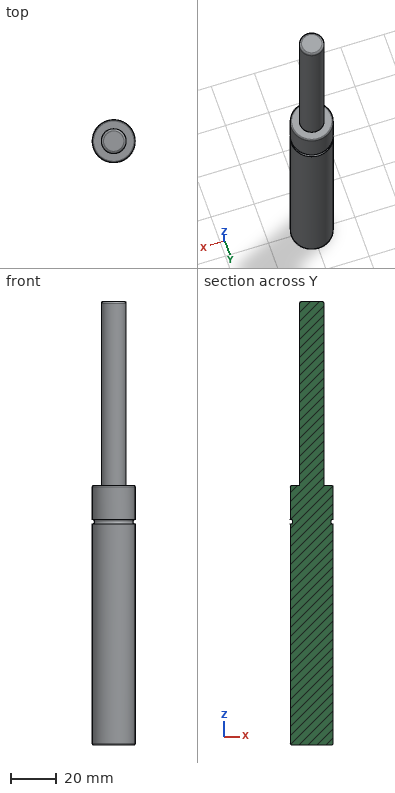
import cadquery as cq

total_length = 195.0
body_diameter = 19.0
rod_diameter = 11.0
body_length = 114.0
body_edge_radius = 0.5
rod_tip_radius = 1.0
groove_center_height = 98.0
groove_radius = 1.0

body_radius = body_diameter / 2


def make_body():
    """Cylinder standing on the XY plane, with both outer edges rounded."""
    body = cq.Workplane("XY").circle(body_radius).extrude(body_length)
    return body.faces("<Z or >Z").edges().fillet(body_edge_radius)


def make_rod():
    """Slim rod on top of the body, with a rounded tip edge."""
    rod_length = total_length - body_length
    rod = cq.Workplane("XY").workplane(offset=body_length).circle(rod_diameter / 2).extrude(rod_length)
    return rod.faces(">Z").edges().fillet(rod_tip_radius)


def make_groove_ring():
    """Ring of round section that cuts the half-round groove around the body."""
    section = cq.Workplane("XZ").center(body_radius, groove_center_height).circle(groove_radius)
    return section.revolve(360, (-body_radius, 0, 0), (-body_radius, 1, 0))


result = make_body().cut(make_groove_ring()).union(make_rod())